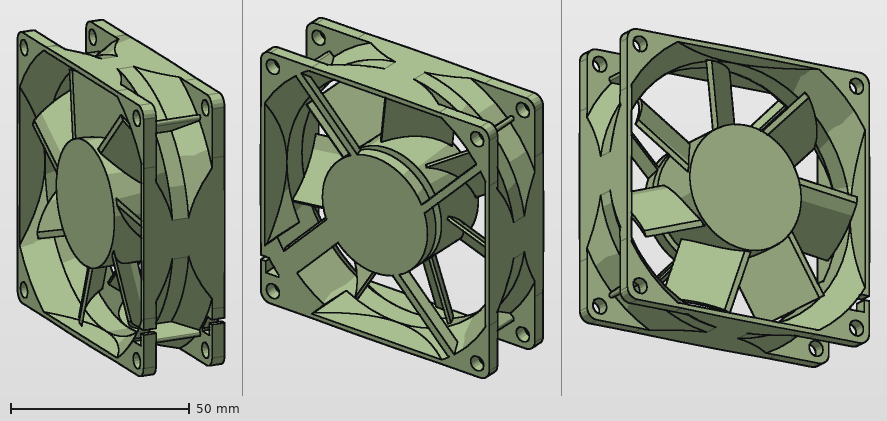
import cadquery as cq

frame_size = 80.0
frame_depth = 25.4
corner_radius = 3.2
bulge_height_z = 40.2
bulge_height_x = 40.1
bulge_half_span = 22.3
flange_thickness = 3.9
hole_spacing = 71.55
hole_diameter = 4.5

bore_radius = 38.6
flare_radius = 45.1
throat_front_y = -4.75
throat_back_y = 2.3
waist_radius = 40.5
waist_front_y = -3.7
waist_back_y = 1.4
wall_front_radius = 43.7
wall_back_radius = 44.45

rib_thickness = 1.45
rib_end_radius = 45.2

notch_left = 33.8
notch_right = 38.3
notch_top = -25.6
notch_bottom = -30.6
notch_slit = 1.45
notch_overrun = 0.8

cable_angle = 315
cable_pad_width = 23.3

strut_inner_offset = 5.5
strut_outer_offset = 7.9
strut_front_width = 0.7
cable_strut_inner_offset = 1.1
cable_strut_rounding = 0.7
plain_strut_angles = (45, 135, 225)

hub_radius = 18.4
hub_recess = 1.5
hub_back_y = 6.1
blade_count = 7
blade_root = 15.3
blade_tip = 37.0
blade_turn = 6.1

blade_lead_front = (-6.6, -10.05)
blade_lead_back = (-8.45, -10.05)
blade_front_middle = (0.65, -5.8)
blade_back_middle = (0, -4.75)
blade_trail_front = (7.2, 2.8)
blade_trail_back = (6.5, 3.4)

front_y = -frame_depth / 2
back_y = frame_depth / 2
front_flange_y = front_y + flange_thickness
back_flange_y = back_y - flange_thickness
half_frame = frame_size / 2


def sketch_at(y_end):
    """Workplane in X and Z at y_end; extrusions from it run towards the front."""
    return cq.Workplane("XZ", origin=(0, y_end, 0))


def disc(radius, y_start, y_end):
    return sketch_at(y_end).circle(radius).extrude(y_end - y_start)


def square_block(side, y_start, y_end):
    return sketch_at(y_end).rect(side, side).extrude(y_end - y_start)


def turned(profile):
    """Solid of revolution about Y from (radius, y) points."""
    return cq.Workplane("XY").polyline(profile).close().revolve(360, (0, 0, 0), (0, 1, 0))


def around_axis(body, angle):
    """Turn a body about Y, anticlockwise when seen from the front."""
    return body.rotate((0, 0, 0), (0, 1, 0), -angle)


def frame_block():
    """Rounded square block whose four sides swell slightly in the middle."""
    h = half_frame
    s = bulge_half_span
    core = square_block(frame_size, front_y, back_y).edges("|Y").fillet(corner_radius)
    swell = (
        sketch_at(back_y)
        .moveTo(-s, h)
        .threePointArc((0, bulge_height_z), (s, h))
        .lineTo(h, s)
        .threePointArc((bulge_height_x, 0), (h, -s))
        .lineTo(s, -h)
        .threePointArc((0, -bulge_height_z), (-s, -h))
        .lineTo(-h, -s)
        .threePointArc((-bulge_height_x, 0), (-h, s))
        .close()
        .extrude(frame_depth)
    )
    return core.union(swell)


def duct_wall():
    """Waisted outer shape of the duct between the flanges."""
    return turned([
        (0, front_flange_y),
        (wall_front_radius, front_flange_y),
        (waist_radius, waist_front_y),
        (waist_radius, waist_back_y),
        (wall_back_radius, back_flange_y),
        (0, back_flange_y),
    ])


def cable_pad():
    """Block along +X that stays solid outside the bore, behind the throat."""
    slab = (
        sketch_at(back_y)
        .center(flare_radius / 2, 0)
        .rect(flare_radius, cable_pad_width)
        .extrude(back_y - throat_back_y)
    )
    return slab.cut(disc(bore_radius, throat_back_y, back_y))


def duct_passage():
    """Round bore flaring at both ends, the flares cut flat along the four sides.

    The back flare leaves out the cable pad, where the bore runs straight through.
    """
    flared = turned([
        (0, front_y),
        (flare_radius, front_y),
        (bore_radius, throat_front_y),
        (bore_radius, throat_back_y),
        (flare_radius, back_y),
        (0, back_y),
    ])
    square = square_block(2 * bore_radius, front_y, back_y)
    passage = flared.intersect(square).cut(around_axis(cable_pad(), cable_angle))
    return passage.clean()


def corner_rib():
    """Radial plate along +X with a rounded outer end, joining the two flanges."""
    length = rib_end_radius - bore_radius
    depth = back_flange_y - front_flange_y
    plate = (
        sketch_at(back_flange_y)
        .center(bore_radius + length / 2, 0)
        .rect(length, rib_thickness)
        .extrude(depth)
    )
    end = (
        sketch_at(back_flange_y)
        .center(rib_end_radius, 0)
        .circle(rib_thickness / 2)
        .extrude(depth)
    )
    return plate.union(end)


def mounting_holes():
    return (
        sketch_at(back_y)
        .rect(hole_spacing, hole_spacing, forConstruction=True)
        .vertices()
        .circle(hole_diameter / 2)
        .extrude(frame_depth)
    )


def strut_bar(profile):
    """Bar along +X from a cross-section in Y and Z, ending in the flared duct wall."""
    bar = profile.close().extrude(flare_radius)
    return bar.intersect(disc(flare_radius, back_flange_y, back_y))


def plain_strut():
    """Narrow strut, its outer flank sloping back from a thin front edge."""
    profile = (
        cq.Workplane("YZ")
        .moveTo(back_flange_y, strut_inner_offset)
        .lineTo(back_flange_y, strut_inner_offset + strut_front_width)
        .lineTo(back_y, strut_outer_offset)
        .lineTo(back_y, strut_inner_offset)
    )
    return strut_bar(profile)


def cable_strut():
    """Wide strut with a sloping flank that reaches the axis and a rounded outer edge."""
    middle_y = (back_flange_y + back_y) / 2
    rounding_start = strut_outer_offset - cable_strut_rounding
    profile = (
        cq.Workplane("YZ")
        .moveTo(back_flange_y, cable_strut_inner_offset)
        .lineTo(back_flange_y, rounding_start)
        .threePointArc((middle_y, strut_outer_offset), (back_y, rounding_start))
        .lineTo(back_y, 0)
    )
    return strut_bar(profile)


def cable_notch():
    """L-shaped opening through both flanges, leaving the duct wall whole."""
    outside = half_frame + notch_overrun
    slit_bottom = notch_top - notch_slit
    opening = (
        sketch_at(back_y)
        .moveTo(notch_left, notch_top)
        .lineTo(outside, notch_top)
        .lineTo(outside, slit_bottom)
        .lineTo(notch_right, slit_bottom)
        .lineTo(notch_right, notch_bottom)
        .lineTo(notch_left, notch_bottom)
        .close()
        .extrude(frame_depth)
    )
    return opening.cut(disc(flare_radius, front_y, back_y))


def make_housing():
    """Flanged duct with its corner ribs, motor base and struts."""
    flange_gap = square_block(2 * frame_size, front_flange_y, back_flange_y)
    body = frame_block().cut(flange_gap.cut(duct_wall()))
    for corner in range(4):
        body = body.union(around_axis(corner_rib(), 45 + 90 * corner))
    body = body.cut(duct_passage())
    body = body.cut(mounting_holes())
    body = body.union(disc(hub_radius, back_flange_y, back_y))
    for angle in plain_strut_angles:
        body = body.union(around_axis(plain_strut(), angle))
    body = body.union(around_axis(cable_strut(), cable_angle))
    return body.cut(cable_notch())


def blade():
    """Curved blade pointing along +Z with a flat leading edge and a square tip."""
    section = (
        cq.Workplane("XY", origin=(0, 0, blade_root))
        .moveTo(*blade_lead_front)
        .threePointArc(blade_front_middle, blade_trail_front)
        .lineTo(*blade_trail_back)
        .threePointArc(blade_back_middle, blade_lead_back)
        .close()
    )
    return section.extrude(blade_tip - blade_root)


def make_impeller():
    """Hub with evenly spaced blades."""
    body = disc(hub_radius, front_y + hub_recess, hub_back_y)
    for index in range(blade_count):
        body = body.union(around_axis(blade(), blade_turn + 360 / blade_count * index))
    return body


housing = make_housing()
impeller = make_impeller()
result = cq.Compound.makeCompound([housing.val(), impeller.val()])